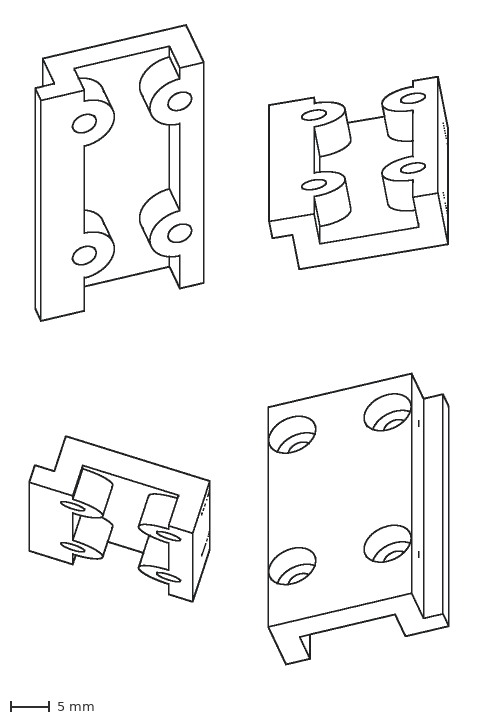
import cadquery as cq

thickness = 7.3
width = 22.2
height = 40.0

lip_width = 2.65
lip_thickness = 2.4

web_thickness = 3.05
wall_thickness = 3.3

hole_diameter = 3.2
counterbore_diameter = 6.4
counterbore_depth = 3.2
boss_diameter = 8.15
top_hole_inset = 6.05
hole_spacing_z = 23.9

body_width = width - lip_width
channel_width = body_width - 2 * wall_thickness
channel_depth = thickness - web_thickness
channel_center_y = lip_width + body_width / 2
top_hole_z = height - top_hole_inset
hole_places = [
    (channel_center_y + side_y * channel_width / 2, hole_z)
    for side_y in (-1, 1)
    for hole_z in (top_hole_z, top_hole_z - hole_spacing_z)
]


def block(x, y, z, origin):
    """Box with its lowest corner at origin."""
    return cq.Workplane("XY").box(x, y, z, centered=False).translate(origin)


def cylinders(diameter, start_x, length):
    """Cylinders along +X at every screw position."""
    plane = cq.Workplane("YZ", origin=(start_x, 0, 0))
    return plane.pushPoints(hole_places).circle(diameter / 2).extrude(length)


body = block(thickness, body_width, height, (0, lip_width, 0))
lip = block(lip_thickness, width, height, (thickness - lip_thickness, 0, 0))
channel = block(channel_depth, channel_width, height, (web_thickness, lip_width + wall_thickness, 0))
plate = body.union(lip).cut(channel)

bosses = cylinders(boss_diameter, web_thickness, channel_depth).intersect(channel)
plate = plate.union(bosses)

result = plate.cut(cylinders(hole_diameter, 0, thickness))
result = result.cut(cylinders(counterbore_diameter, 0, counterbore_depth))